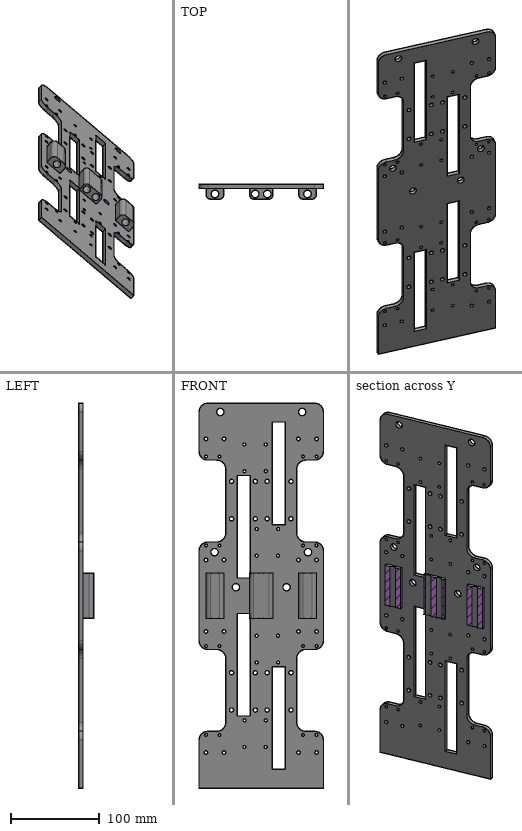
import cadquery as cq

plate_width = 140.0
plate_thickness = 5.0
plate_height = 433.03
plate_top = plate_height / 2
plate_bottom = -plate_top
corner_radius = 10.0

waist_width = 80.0
notch_inner_z = 60.5
notch_outer_z = 152.3
notch_radius = 10.0

slot_width = 14.5
slot_length = 115.0
slot_x = 19.7
left_slot_z = 77.5
right_slot_z = 137.5

mount_hole_diameter = 8.0
mount_holes = ((46.0, 206.5), (52.5, 49.0), (28.5, 9.5))

ear_hole_diameter = 3.8
ear_edge_hole_diameter = 3.0
ear_hole_xs = (41.8, 62.2)
ear_edge_hole_xs = (47.0, 62.0)
ear_hole_zs = (40.2, 176.3)
ear_edge_hole_zs = (56.5, 156.5)

rail_hole_diameter = 4.5
rail_hole_xs = (6.6, 33.4)
rail_hole_zs = (86.5, 128.5)

offset_hole_diameter = 3.2
offset_hole_near_x = 5.1
offset_hole_far_x = 18.9
inner_offset_hole_zs = (45.0, 75.0)
outer_offset_hole_zs = (140.0, 170.0)

holder_depth = 12.0
holder_height = 51.0
bore_diameter = 8.2
bore_y = -holder_depth / 2
side_holder_x = 52.0
side_holder_width = 20.0
side_holder_radius = 5.2
center_holder_width = 26.0
center_holder_radius = 4.5
center_bore_x = 6.8


def mirrored(x, z):
    """The point (x, z) and its three mirror images across the X and Z axes."""
    return [(sx * x, sz * z) for sx in (-1, 1) for sz in (-1, 1)]


def plate_box(width, z_low, z_high, x_center=0.0):
    """A block through the plate thickness."""
    return (
        cq.Workplane("XY")
        .box(width, plate_thickness, z_high - z_low, centered=(True, False, False))
        .translate((x_center, 0, z_low))
    )


def make_plate():
    plate = plate_box(plate_width, plate_bottom, plate_top)
    plate = plate.edges("|Y and >Z").fillet(corner_radius)
    notch_width = (plate_width - waist_width) / 2
    notch_x = (plate_width + waist_width) / 4
    for side in (-1, 1):
        for z_low, z_high in ((notch_inner_z, notch_outer_z), (-notch_outer_z, -notch_inner_z)):
            plate = plate.cut(plate_box(notch_width, z_low, z_high, side * notch_x))
            for z in (z_low, z_high):
                for x, radius in ((waist_width / 2, notch_radius), (plate_width / 2, corner_radius)):
                    corner = cq.selectors.NearestToPointSelector((side * x, plate_thickness / 2, z))
                    plate = plate.edges("|Y").edges(corner).fillet(radius)
    return plate


def slot_cutters():
    cutters = cq.Workplane("XY")
    for x, z in ((-slot_x, left_slot_z), (slot_x, right_slot_z)):
        for center_z in (-z, z):
            z_low = center_z - slot_length / 2
            cutters = cutters.add(plate_box(slot_width, z_low, z_low + slot_length, x))
    return cutters.combine()


def drill(plate, points, diameter):
    """Drill round holes along Y through the plate at the given (x, z) points."""
    cutters = cq.Workplane("XZ").pushPoints(points).circle(diameter / 2).extrude(-plate_thickness)
    return plate.cut(cutters)


def drill_plate(plate):
    mount_points = [(side * x, z) for x, z in mount_holes for side in (-1, 1)]
    plate = drill(plate, mount_points, mount_hole_diameter)

    hole_grids = (
        (ear_hole_xs, ear_hole_zs, ear_hole_diameter),
        (ear_edge_hole_xs, ear_edge_hole_zs, ear_edge_hole_diameter),
        (rail_hole_xs, rail_hole_zs, rail_hole_diameter),
    )
    for xs, zs, diameter in hole_grids:
        points = [point for x in xs for z in zs for point in mirrored(x, z)]
        plate = drill(plate, points, diameter)

    offset_points = []
    for sz in (-1, 1):
        for z in inner_offset_hole_zs:
            offset_points += [(-offset_hole_near_x, sz * z), (offset_hole_far_x, sz * z)]
        for z in outer_offset_hole_zs:
            offset_points += [(offset_hole_near_x, sz * z), (-offset_hole_far_x, sz * z)]
    return drill(plate, offset_points, offset_hole_diameter)


def make_holder(x, width, radius, bore_xs):
    """A block on the plate front with rounded front edges and bores along Z."""
    holder = (
        cq.Workplane("XY")
        .box(width, holder_depth, holder_height)
        .translate((x, -holder_depth / 2, 0))
        .edges("|Z and <Y")
        .fillet(radius)
    )
    bores = (
        cq.Workplane("XY")
        .pushPoints([(bore_x, bore_y) for bore_x in bore_xs])
        .circle(bore_diameter / 2)
        .extrude(holder_height / 2, both=True)
    )
    return holder.cut(bores)


result = drill_plate(make_plate().cut(slot_cutters()))
for holder_x in (-side_holder_x, side_holder_x):
    result = result.union(make_holder(holder_x, side_holder_width, side_holder_radius, [holder_x]))
result = result.union(
    make_holder(0, center_holder_width, center_holder_radius, [-center_bore_x, center_bore_x])
)